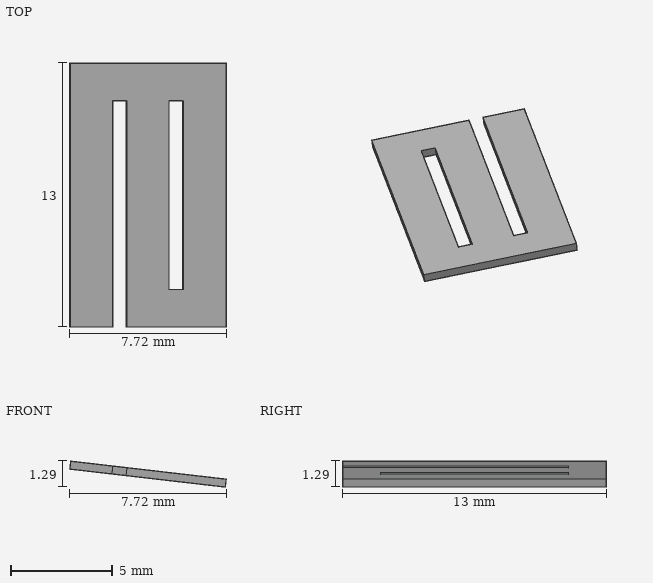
import cadquery as cq

length = 13.01
width = 7.73
thickness = 0.4
tilt_angle = 6.6
slot_width = 0.7
arm_width = 2.1
bridge = 1.86

left_slot_x = -width / 2 + arm_width + slot_width / 2
right_slot_x = left_slot_x + arm_width + slot_width


def slot_cutter(x_center, y_start, y_end):
    """Rectangular cutter through the full plate thickness."""
    return (
        cq.Workplane("XY")
        .center(x_center, (y_start + y_end) / 2)
        .box(slot_width, y_end - y_start, 2 * thickness)
    )


slot_top = length / 2 - bridge

plate = cq.Workplane("XY").box(width, length, thickness)

plate = plate.cut(slot_cutter(left_slot_x, -length / 2, slot_top))

plate = plate.cut(slot_cutter(right_slot_x, -slot_top, slot_top))

result = plate.rotate((0, 0, 0), (0, 1, 0), tilt_angle)